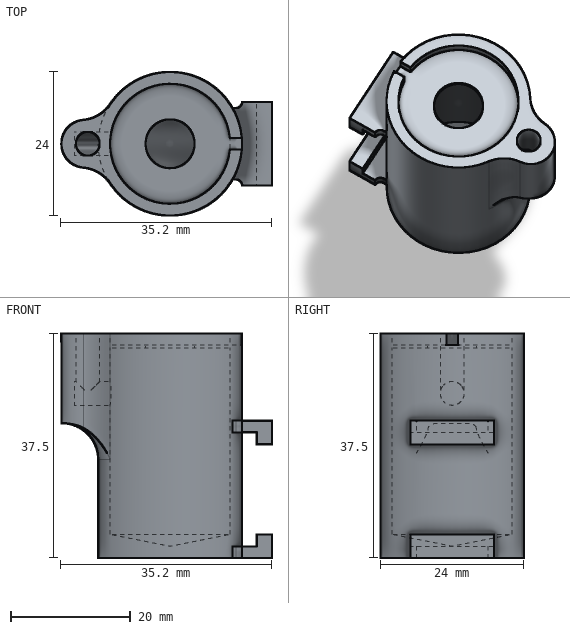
import cadquery as cq
import math

height = 37.5
body_radius = 12.0

recess_radius = 10.0
recess_depth = 2.0
slot_width = 2.0

bore_radius = 4.1
lid_thickness = 0.5
chamber_radius = recess_radius
floor_thickness = 2.0
floor_cone_depth = 2.0

lug_x = -14.15
lug_radius = 4.0
blend_radius = 6.0
undercut_radius = 6.0
undercut_start_z = 16.5
lug_hole_x = -13.72
lug_hole_radius = 2.0
lug_hole_depth = 12.0
passage_overrun = 0.2

hook_end_x = 17.02
hook_lip_x = 14.45
hook_width = 14.0
hook_plate = 2.0
hook_height = 2 * hook_plate
upper_hook_top = 22.95
notch_radius = 1.0


def make_lug():
    """Blended lug whose underside is a concave arc revolved about the barrel axis."""
    to_body = body_radius + blend_radius
    to_lug = lug_radius + blend_radius
    blend_x = (to_body**2 - to_lug**2 + lug_x**2) / (2 * lug_x)
    blend_y = math.sqrt(to_body**2 - blend_x**2)

    body_share = body_radius / to_body
    body_x = blend_x * body_share
    body_y = blend_y * body_share
    lug_share = lug_radius / to_lug
    tip_x = lug_x + (blend_x - lug_x) * lug_share
    tip_y = blend_y * lug_share

    chord_x = (body_x + tip_x) / 2 - blend_x
    chord_y = (body_y + tip_y) / 2 - blend_y
    stretch = blend_radius / math.hypot(chord_x, chord_y)
    mid_x = blend_x + chord_x * stretch
    mid_y = blend_y + chord_y * stretch

    lug = (
        cq.Workplane("XY")
        .moveTo(0, 0)
        .lineTo(body_x, body_y)
        .threePointArc((mid_x, mid_y), (tip_x, tip_y))
        .threePointArc((lug_x - lug_radius, 0), (tip_x, -tip_y))
        .threePointArc((mid_x, -mid_y), (body_x, -body_y))
        .close()
        .extrude(height)
    )

    arc_end = body_radius + undercut_radius
    arc_end_z = undercut_start_z + undercut_radius
    arc_offset = undercut_radius * math.sqrt(0.5)
    beyond_lug = arc_end + lug_radius
    undercut = (
        cq.Workplane("XZ")
        .lineTo(beyond_lug, 0)
        .lineTo(beyond_lug, arc_end_z)
        .lineTo(arc_end, arc_end_z)
        .threePointArc(
            (arc_end - arc_offset, undercut_start_z + arc_offset),
            (body_radius, undercut_start_z),
        )
        .lineTo(0, undercut_start_z)
        .close()
        .revolve(360, (0, 0), (0, 1))
    )
    return lug.cut(undercut)


def make_hook(base_z, direction):
    """L-shaped hook; direction is +1 for a lip pointing up, -1 for down."""
    plate_z = base_z + direction * hook_plate
    lip_z = base_z + direction * hook_height
    hook = (
        cq.Workplane("XZ")
        .moveTo(0, base_z)
        .lineTo(hook_end_x, base_z)
        .lineTo(hook_end_x, lip_z)
        .lineTo(hook_lip_x, lip_z)
        .lineTo(hook_lip_x, plate_z)
        .lineTo(0, plate_z)
        .close()
        .extrude(hook_width / 2, both=True)
    )
    notch_x = body_radius - notch_radius
    for side in (-1, 1):
        edge_y = side * hook_width / 2
        corner = (
            cq.Workplane("XY", origin=(0, 0, min(base_z, plate_z)))
            .center(notch_x, edge_y)
            .circle(notch_radius)
            .extrude(hook_plate)
        )
        root = cq.Workplane("XY").box(
            notch_x, 2 * notch_radius, hook_plate, centered=(False, True, False)
        ).translate((0, edge_y, min(base_z, plate_z)))
        hook = hook.cut(corner).cut(root)
    return hook


def make_recess():
    """Round recess and its slot through the rim."""
    floor_z = height - recess_depth
    recess = cq.Workplane("XY", origin=(0, 0, floor_z)).circle(recess_radius).extrude(recess_depth)
    slot = cq.Workplane("XY").box(
        hook_end_x, slot_width, recess_depth, centered=(False, True, False)
    ).translate((0, 0, floor_z))
    return recess.union(slot)


def make_chamber():
    """Bore through the lid, and the chamber below it ending in a shallow cone."""
    recess_z = height - recess_depth
    chamber_top_z = recess_z - lid_thickness
    return (
        cq.Workplane("XZ")
        .moveTo(0, recess_z)
        .lineTo(bore_radius, recess_z)
        .lineTo(bore_radius, chamber_top_z)
        .lineTo(chamber_radius, chamber_top_z)
        .lineTo(chamber_radius, floor_thickness + floor_cone_depth)
        .lineTo(0, floor_thickness)
        .close()
        .revolve(360, (0, 0), (0, 1))
    )


def make_lug_hole():
    """Vertical hole in the lug meeting a level passage of equal size into the chamber."""
    passage_z = height - lug_hole_depth + lug_hole_radius
    shaft = (
        cq.Workplane("XY", origin=(lug_hole_x, 0, passage_z))
        .circle(lug_hole_radius)
        .extrude(height - passage_z)
    )
    outer_end_x = lug_hole_x - lug_hole_radius - passage_overrun
    passage = (
        cq.Workplane("YZ", origin=(outer_end_x, 0, passage_z))
        .circle(lug_hole_radius)
        .extrude(-outer_end_x)
    )
    return shaft.union(passage)


barrel = cq.Workplane("XY").circle(body_radius).extrude(height)
result = (
    barrel.union(make_lug())
    .union(make_hook(0, 1))
    .union(make_hook(upper_hook_top, -1))
    .cut(make_recess())
    .cut(make_chamber())
    .cut(make_lug_hole())
)